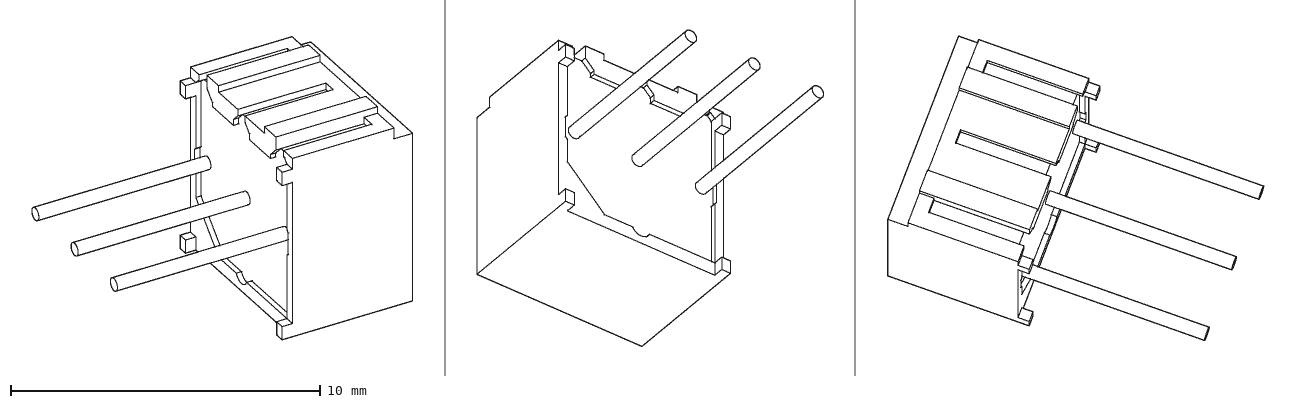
import cadquery as cq


WIDTH = 6.6
LENGTH = 10.72
HEIGHT = 6.99

HOUSING_DEPTH = 4.49
RAIL_HEIGHT = 0.25
RAIL_WIDTH = 0.75
RAIL_OUTER_X = 2.23
LEDGE_DEPTH = 0.7
LEDGE_DROP = 0.41
FOOT_WIDTH = 0.35
FOOT_HEIGHT = 0.5
FOOT_LENGTH = 0.39

SLOT_DEPTH = 0.25
SLOT_BACK_WALL = 0.5
MIDDLE_SLOT_WIDTH = 0.47
SIDE_SLOT_WIDTH = 0.5

SIDE_WALL = FOOT_WIDTH
BOTTOM_WALL = FOOT_HEIGHT
TOP_CORNER_CHAMFER = 0.16
TONGUE_INNER_X = 0.51
TONGUE_OUTER_X = 1.88
TONGUE_DROP = 0.5
KEY_CENTRE_Z = 3.38
KEY_HEIGHT = 0.8
KEY_DEPTH = 0.08
CORNER_CUT = 1.49
SCALLOP_HALF_WIDTH = 0.33
SCALLOP_DEPTH = 0.21
PLUG_RECESS = 0.19

PIN_DIAMETER = 0.46
PIN_PITCH = 2.54
PIN_Z = 3.46
PIN_COUNT = 3

deck_z = HEIGHT - RAIL_HEIGHT
slot_floor_z = deck_z - SLOT_DEPTH
ledge_z = deck_z - LEDGE_DROP
front_y = LENGTH - HOUSING_DEPTH
ledge_y = LENGTH - LEDGE_DEPTH
cavity_end_y = ledge_y - SLOT_BACK_WALL
plug_face_y = front_y + PLUG_RECESS
wall_x = WIDTH / 2 - SIDE_WALL


def block(x_min, x_max, y_min, y_max, z_min, z_max):
    """Box between the given limits."""
    size = (x_max - x_min, y_max - y_min, z_max - z_min)
    return cq.Workplane("XY").box(*size, centered=False).translate((x_min, y_min, z_min))


def top_edge_points():
    """+X half of the cavity's upper edge, from the middle slot out to the notch in the side wall."""
    middle_slot_x = MIDDLE_SLOT_WIDTH / 2
    inner_chamfer = TONGUE_INNER_X - middle_slot_x
    outer_chamfer = RAIL_OUTER_X - TONGUE_OUTER_X
    tongue_z = slot_floor_z - TONGUE_DROP
    key_top_z = KEY_CENTRE_Z + KEY_HEIGHT / 2
    return [
        (middle_slot_x, slot_floor_z),
        (TONGUE_INNER_X, slot_floor_z - inner_chamfer),
        (TONGUE_INNER_X, tongue_z),
        (TONGUE_OUTER_X, tongue_z),
        (TONGUE_OUTER_X, slot_floor_z - outer_chamfer),
        (RAIL_OUTER_X, slot_floor_z),
        (wall_x - TOP_CORNER_CHAMFER, slot_floor_z),
        (wall_x, slot_floor_z - TOP_CORNER_CHAMFER),
        (wall_x, key_top_z + KEY_DEPTH),
        (wall_x + KEY_DEPTH, key_top_z),
    ]


def key_bottom_points():
    """Lower end of the notch in the +X side wall."""
    key_bottom_z = KEY_CENTRE_Z - KEY_HEIGHT / 2
    return [(wall_x + KEY_DEPTH, key_bottom_z), (wall_x, key_bottom_z - KEY_DEPTH)]


def cavity_prism(y_min, y_max):
    """Cavity section carried along Y between the given limits."""
    right_side = top_edge_points() + key_bottom_points()
    left_side = [(-x, z) for x, z in reversed(right_side)]
    corner_cut_points = [(-wall_x + CORNER_CUT, BOTTOM_WALL), (-wall_x, BOTTOM_WALL + CORNER_CUT)]
    section = (
        cq.Workplane("XZ", origin=(0, y_min, 0))
        .polyline(right_side + [(wall_x, BOTTOM_WALL)])
        .lineTo(SCALLOP_HALF_WIDTH, BOTTOM_WALL)
        .threePointArc((0, BOTTOM_WALL - SCALLOP_DEPTH), (-SCALLOP_HALF_WIDTH, BOTTOM_WALL))
    )
    for x, z in corner_cut_points + left_side:
        section = section.lineTo(x, z)
    return section.close().extrude(y_min - y_max)


def make_shell():
    """Outer block with the ledge along its back top edge and the two rails on its deck."""
    half_width = WIDTH / 2
    shell = block(-half_width, half_width, front_y, LENGTH, 0, deck_z)
    shell = shell.cut(block(-half_width, half_width, ledge_y, LENGTH, ledge_z, deck_z))
    for rail_x in (-RAIL_OUTER_X, RAIL_OUTER_X - RAIL_WIDTH):
        rail = block(rail_x, rail_x + RAIL_WIDTH, front_y, ledge_y, deck_z, HEIGHT)
        shell = shell.union(rail)
    return shell


def add_feet(shell):
    """Four stand-off feet on the front face, two at the bottom and two level with the ledge."""
    for foot_x in (-WIDTH / 2, WIDTH / 2 - FOOT_WIDTH):
        for foot_z in (0, ledge_z - FOOT_HEIGHT):
            foot = block(
                foot_x, foot_x + FOOT_WIDTH, front_y - FOOT_LENGTH, front_y, foot_z, foot_z + FOOT_HEIGHT
            )
            shell = shell.union(foot)
    return shell


def cut_slots(shell):
    """Three slots through the deck that open into the cavity."""
    slots = (
        (-RAIL_OUTER_X - SIDE_SLOT_WIDTH, SIDE_SLOT_WIDTH),
        (-MIDDLE_SLOT_WIDTH / 2, MIDDLE_SLOT_WIDTH),
        (RAIL_OUTER_X, SIDE_SLOT_WIDTH),
    )
    for slot_x, slot_width in slots:
        slot = block(slot_x, slot_x + slot_width, front_y, cavity_end_y, slot_floor_z, deck_z)
        shell = shell.cut(slot)
    return shell


def make_housing():
    shell = add_feet(make_shell())
    shell = shell.cut(cavity_prism(front_y, cavity_end_y))
    return cut_slots(shell)


def make_plug():
    """Potting that fills the cavity from its floor to just behind the front face."""
    return cavity_prism(plug_face_y, cavity_end_y)


def make_pin(x):
    """Round pin from its tip at Y = 0 to the face of the plug."""
    pin = cq.Workplane("XZ", origin=(x, 0, PIN_Z)).circle(PIN_DIAMETER / 2)
    return pin.extrude(-plug_face_y)


housing = make_housing()
plug = make_plug()
pins = [make_pin((i - (PIN_COUNT - 1) / 2) * PIN_PITCH) for i in range(PIN_COUNT)]

result = cq.Compound.makeCompound([housing.solids().val(), plug.val(), *[pin.val() for pin in pins]])